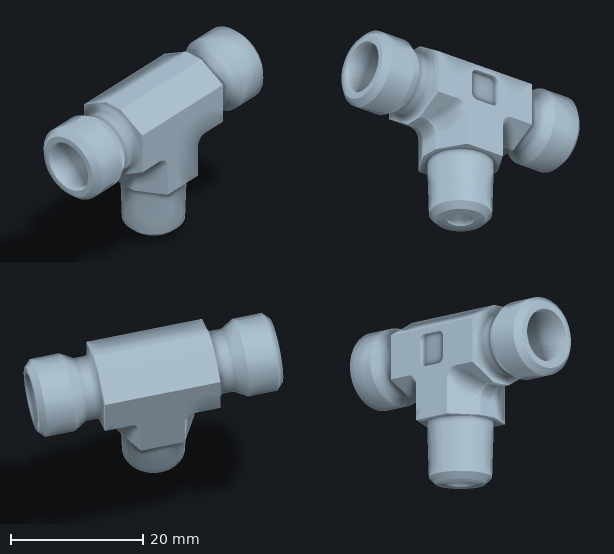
import cadquery as cq
import math

run_length = 38.0
thread_diameter = 12.0
thread_radius = thread_diameter / 2

body_half_width = thread_radius
flat_half_width = 1.52
facet_angle = math.radians(30)
side_half_height = body_half_width - (body_half_width - flat_half_width) * math.tan(facet_angle)
body_half_length = 9.0
body_bottom = -10.53
crotch_radius = 2.0

end_chamfer = 1.0
thread_start = 13.53
neck_radius = 9.7 / 2
neck_inner_end = 10.0
neck_outer_end = 11.25
cone_start = 11.8
root_radius = neck_inner_end - body_half_length

through_diameter = 4.0
tube_radius = 6.0 / 2
seat_mouth_radius = 8.15 / 2
seat_half_angle = math.radians(12)
seat_depth = (seat_mouth_radius - tube_radius) / math.tan(seat_half_angle)
socket_depth = 7.0

spigot_radius = 10.05 / 2
spigot_bottom = -20.05
collar_bottom = -11.97
spigot_taper = 1 / 32
spigot_chamfer = 1.0

recess_size = 5.0
recess_corner = 1.0
recess_depth = 1.0


def arm_section(plane):
    """Section of either arm: flats at the sides, short flats at the two ends."""
    return cq.Workplane(plane).polyline([
        (body_half_width, side_half_height),
        (flat_half_width, body_half_width),
        (-flat_half_width, body_half_width),
        (-body_half_width, side_half_height),
        (-body_half_width, -side_half_height),
        (-flat_half_width, -body_half_width),
        (flat_half_width, -body_half_width),
        (body_half_width, -side_half_height),
    ]).close()


def make_body():
    run = arm_section("XZ").extrude(body_half_length, both=True)
    branch = arm_section("XY").extrude(body_bottom)
    body = run.union(branch).clean()
    tolerance = 0.0005
    crotch_edges = []
    for edge in body.edges().vals():
        ends = [edge.startPoint(), edge.endPoint()]
        if all(abs(abs(p.y) + p.z) < tolerance for p in ends):
            crotch_edges.append(edge)
    return body.newObject(crotch_edges).fillet(crotch_radius)


def make_run_end():
    """Solid of revolution for the +Y end, overlapping the body."""
    half_length = run_length / 2
    blend_mid = (neck_outer_end + cone_start) / 2
    cone_slope = (thread_radius - neck_radius) / (thread_start - blend_mid)
    cone_start_radius = neck_radius + cone_slope * (cone_start - blend_mid)
    root_outer_radius = neck_radius + root_radius
    arc_inset = root_radius * (1 - math.sqrt(0.5))
    root_arc_middle = (neck_radius + arc_inset, body_half_length + arc_inset)
    return (
        cq.Workplane("XY")
        .moveTo(0, 0)
        .lineTo(root_outer_radius, 0)
        .lineTo(root_outer_radius, body_half_length)
        .threePointArc(root_arc_middle, (neck_radius, neck_inner_end))
        .lineTo(neck_radius, neck_outer_end)
        .tangentArcPoint((cone_start_radius, cone_start), relative=False)
        .lineTo(thread_radius, thread_start)
        .lineTo(thread_radius, half_length - end_chamfer)
        .lineTo(thread_radius - end_chamfer, half_length)
        .lineTo(0, half_length)
        .close()
        .revolve(360, (0, 0, 0), (0, 1, 0))
    )


def make_socket():
    """Conical seat and tube bore, cut into the +Y end."""
    half_length = run_length / 2
    return (
        cq.Workplane("XY")
        .polyline([
            (0, half_length),
            (seat_mouth_radius, half_length),
            (tube_radius, half_length - seat_depth),
            (tube_radius, half_length - socket_depth),
            (0, half_length - socket_depth),
        ])
        .close()
        .revolve(360, (0, 0, 0), (0, 1, 0))
    )


def make_spigot():
    chamfer_top = spigot_bottom + spigot_chamfer
    tip_radius = spigot_radius - spigot_taper * (collar_bottom - chamfer_top)
    return (
        cq.Workplane("XZ")
        .polyline([
            (0, body_bottom),
            (spigot_radius, body_bottom),
            (spigot_radius, collar_bottom),
            (tip_radius, chamfer_top),
            (tip_radius - spigot_chamfer, spigot_bottom),
            (0, spigot_bottom),
        ])
        .close()
        .revolve(360, (0, 0, 0), (0, 1, 0))
    )


def make_recess():
    return (
        cq.Workplane("YZ", origin=(-body_half_width, 0, 0))
        .rect(recess_size, recess_size)
        .extrude(recess_depth)
        .edges("|X")
        .fillet(recess_corner)
    )


run_end = make_run_end()
socket = make_socket()
run_bore = cq.Workplane("XZ").circle(through_diameter / 2).extrude(run_length / 2, both=True)
branch_bore = cq.Workplane("XY").circle(through_diameter / 2).extrude(spigot_bottom)

result = make_body().union(make_spigot())
result = result.union(run_end).union(run_end.mirror("XZ"))
result = result.cut(socket).cut(socket.mirror("XZ"))
result = result.cut(run_bore).cut(branch_bore).cut(make_recess())